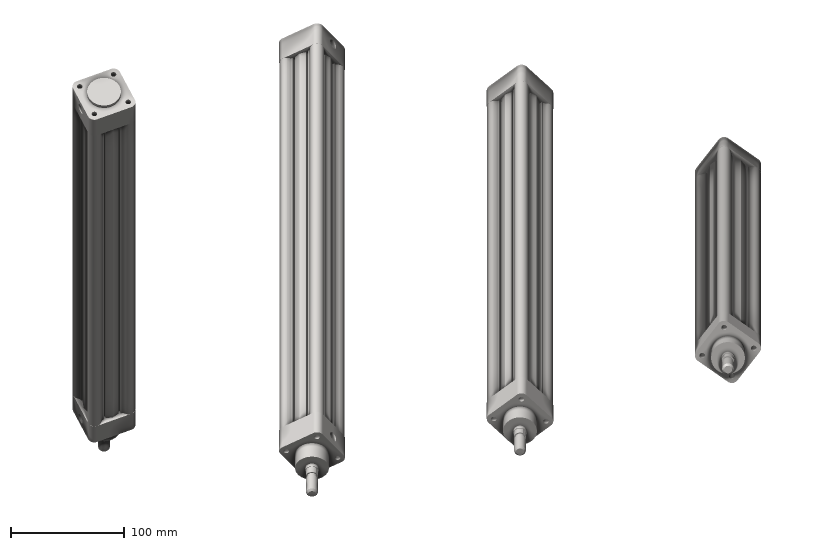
import cadquery as cq
import math


TOTAL_LENGTH = 544.0
WIDTH = 45.0

ROD_EXTENSION = 31.0
FRONT_COLLAR_LENGTH = 16.5
REAR_COLLAR_LENGTH = 4.0
CAP_LENGTH = 24.5
FRONT_CAP_BOTTOM = ROD_EXTENSION + FRONT_COLLAR_LENGTH
FRONT_CAP_TOP = FRONT_CAP_BOTTOM + CAP_LENGTH
REAR_CAP_TOP = TOTAL_LENGTH - REAR_COLLAR_LENGTH
REAR_CAP_BOTTOM = REAR_CAP_TOP - CAP_LENGTH

CAP_CORNER_RADIUS = 6.0
COLLAR_DIAMETER = 30.0
SCREW_SPACING = 32.5
SCREW_HOLE_DIAMETER = 5.0
SCREW_HOLE_DEPTH = 16.0
PORT_DIAMETER = 9.0
PORT_DEPTH = 5.5
PORT_FROM_OUTER_FACE = 10.0

LOBE_CENTRE = SCREW_SPACING / 2
LOBE_RADIUS = WIDTH / 2 - LOBE_CENTRE
LOBE_EDGE = 12.5
FLANK_EDGE = 10.0
SLOT_EDGE = 8.0
SLOT_FLOOR = 16.0
RIDGE_CREST = 19.5
RIDGE_EDGE_HEIGHT = 18.0
RIDGE_HALF_WIDTH = 6.0

ROD_DIAMETER = 12.0
FLATS_DIAMETER = 11.0
FLATS_ACROSS = 10.5
FLATS_TOP = 28.0
FLATS_BOTTOM = 21.0
NECK_DIAMETER = 8.5
THREAD_DIAMETER = 10.5
THREAD_TOP = 18.0
TIP_CHAMFER = 1.5


def make_cap(cap_bottom, outward):
    """End cap whose outer face points along Z in the direction `outward` (+1 up, -1 down)."""
    collar_length = REAR_COLLAR_LENGTH if outward > 0 else FRONT_COLLAR_LENGTH
    outer_z = cap_bottom + CAP_LENGTH if outward > 0 else cap_bottom
    block = (
        cq.Workplane("XY", origin=(0, 0, cap_bottom))
        .rect(WIDTH, WIDTH)
        .extrude(CAP_LENGTH)
        .edges("|Z")
        .fillet(CAP_CORNER_RADIUS)
    )
    outer_face = cq.Workplane("XY", origin=(0, 0, outer_z))
    collar = outer_face.circle(COLLAR_DIAMETER / 2).extrude(outward * collar_length)
    screw_holes = (
        outer_face.rect(SCREW_SPACING, SCREW_SPACING, forConstruction=True)
        .vertices()
        .circle(SCREW_HOLE_DIAMETER / 2)
        .extrude(-outward * SCREW_HOLE_DEPTH)
    )
    port_z = outer_z - outward * PORT_FROM_OUTER_FACE
    port = (
        cq.Workplane("XZ", origin=(0, -WIDTH / 2, port_z))
        .circle(PORT_DIAMETER / 2)
        .extrude(-PORT_DEPTH)
    )
    return block.union(collar).cut(screw_holes).cut(port)


def make_barrel():
    """Extruded profile: the outline of one side, turned around the axis four times."""
    lobe_middle = LOBE_CENTRE + LOBE_RADIUS * math.sqrt(0.5)
    flank_top = LOBE_CENTRE + math.sqrt(LOBE_RADIUS**2 - (LOBE_CENTRE - LOBE_EDGE) ** 2)
    flank_bottom = flank_top - (LOBE_EDGE - FLANK_EDGE)

    half_side = [
        (RIDGE_CREST, 0),
        (RIDGE_EDGE_HEIGHT, RIDGE_HALF_WIDTH),
        (SLOT_FLOOR, RIDGE_HALF_WIDTH),
        (SLOT_FLOOR, SLOT_EDGE),
        (flank_bottom, SLOT_EDGE),
        (flank_bottom, FLANK_EDGE),
        (flank_top, LOBE_EDGE),
    ]
    mirrored_half_side = [(along, out) for out, along in reversed(half_side)]

    def turned(point, quarter):
        x, y = point
        for _ in range(quarter):
            x, y = -y, x
        return x, y

    outline = cq.Workplane("XY", origin=(0, 0, FRONT_CAP_TOP)).moveTo(*half_side[0])
    for quarter in range(4):
        if quarter > 0:
            outline = outline.lineTo(*turned(half_side[0], quarter))
        for point in half_side[1:]:
            outline = outline.lineTo(*turned(point, quarter))
        outline = outline.threePointArc(
            turned((lobe_middle, lobe_middle), quarter),
            turned(mirrored_half_side[0], quarter),
        )
        for point in mirrored_half_side[1:-1]:
            outline = outline.lineTo(*turned(point, quarter))
    return outline.close().extrude(REAR_CAP_BOTTOM - FRONT_CAP_TOP)


def make_rod():
    """Rod end with two wrench flats, a relief neck and a chamfered threaded tip."""
    thread = (
        cq.Workplane("XY")
        .circle(THREAD_DIAMETER / 2)
        .extrude(THREAD_TOP)
        .faces("<Z")
        .chamfer(TIP_CHAMFER)
    )
    neck = (
        cq.Workplane("XY", origin=(0, 0, THREAD_TOP))
        .circle(NECK_DIAMETER / 2)
        .extrude(FLATS_BOTTOM - THREAD_TOP)
    )
    flats_outline = cq.Workplane("XY", origin=(0, 0, FLATS_BOTTOM)).rect(FLATS_DIAMETER, FLATS_ACROSS)
    flats = flats_outline.extrude(FLATS_TOP - FLATS_BOTTOM).intersect(
        cq.Workplane("XY").circle(FLATS_DIAMETER / 2).extrude(ROD_EXTENSION)
    )
    shank = (
        cq.Workplane("XY", origin=(0, 0, FLATS_TOP))
        .circle(ROD_DIAMETER / 2)
        .extrude(ROD_EXTENSION - FLATS_TOP)
    )
    return thread.union(neck).union(flats).union(shank)


front_cap = make_cap(FRONT_CAP_BOTTOM, -1)
rear_cap = make_cap(REAR_CAP_BOTTOM, 1)
barrel = make_barrel()
rod = make_rod()

result = cq.Compound.makeCompound([front_cap.val(), rear_cap.val(), barrel.val(), rod.val()])